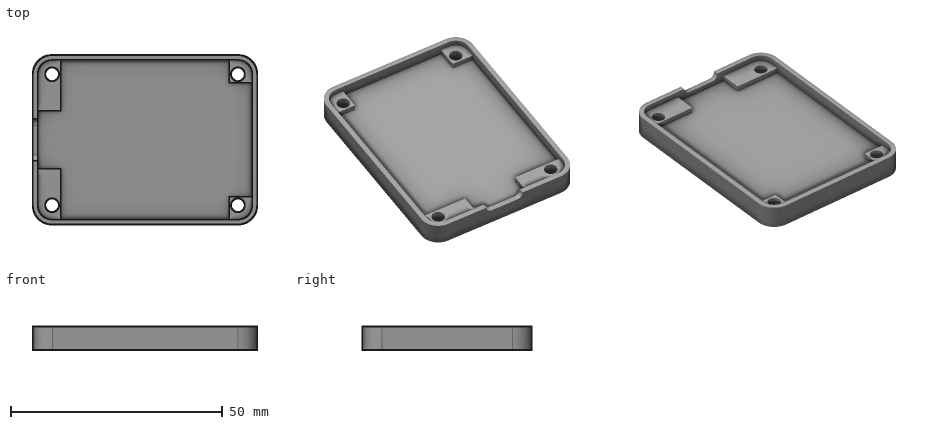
import cadquery as cq

length = 53.2
width = 40.2
height = 5.6
wall = 1.2
floor = 2.5
outer_radius = 4.6
inner_radius = outer_radius - wall

hole_diameter = 3.2
hole_x = length / 2 - outer_radius
hole_y = width / 2 - outer_radius

pad_height = 1.5
pad_size = 5.4
long_pad_length = 12.0

notch_width = 10.0
notch_depth = 1.6
notch_radius = 1.5

cavity_length = length - 2 * wall
cavity_width = width - 2 * wall
cavity_depth = height - floor


def rounded_block(size_x, size_y, size_z, radius, base_z):
    """Block centred on Z with rounded vertical edges."""
    block = cq.Workplane("XY").workplane(offset=base_z).rect(size_x, size_y).extrude(size_z)
    return block.edges("|Z").fillet(radius)


def corner_pad(side_x, side_y, pad_length):
    """Rectangular pad filling one corner of the cavity; side_x and side_y are +1 or -1."""
    center_x = side_x * (cavity_length - pad_size) / 2
    center_y = side_y * (cavity_width - pad_length) / 2
    pad = cq.Workplane("XY").workplane(offset=floor).center(center_x, center_y)
    return pad.rect(pad_size, pad_length).extrude(pad_height)


def corner_pads(cavity):
    """All four pads, trimmed to the rounded cavity corners; the -X pads are the long ones."""
    pads = cq.Workplane("XY")
    for side_x, pad_length in ((-1, long_pad_length), (1, pad_size)):
        for side_y in (-1, 1):
            pads = pads.add(corner_pad(side_x, side_y, pad_length).intersect(cavity))
    return pads.combine()


def rim_notch():
    """Cutter for the -X wall notch, with rounded bottom corners."""
    notch = cq.Workplane("XY").box(wall, notch_width, notch_depth, centered=(False, True, False))
    notch = notch.edges("|X and <Z").fillet(notch_radius)
    return notch.translate((-length / 2, 0, height - notch_depth))


def screw_holes():
    """Through-hole cutters at the four corners."""
    holes = cq.Workplane("XY").rect(2 * hole_x, 2 * hole_y, forConstruction=True).vertices()
    return holes.circle(hole_diameter / 2).extrude(height)


cavity = rounded_block(cavity_length, cavity_width, cavity_depth, inner_radius, floor)
tray = rounded_block(length, width, height, outer_radius, 0).cut(cavity)
result = tray.union(corner_pads(cavity)).cut(rim_notch()).cut(screw_holes())